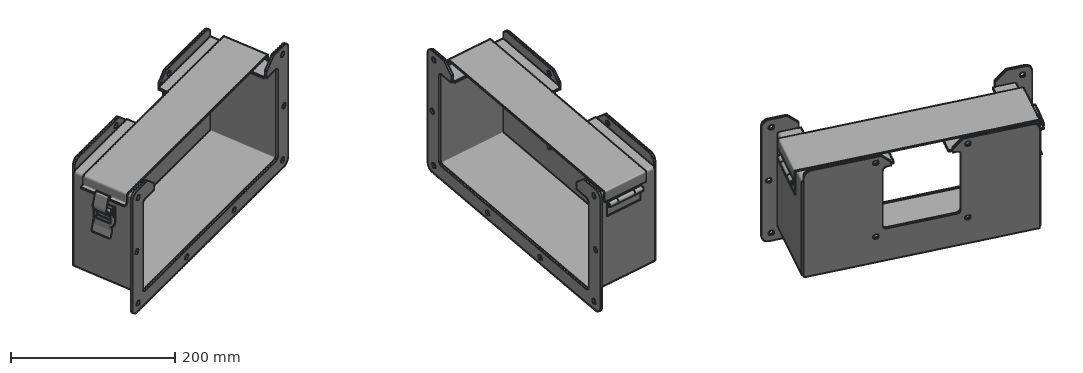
import cadquery as cq
import math


length = 346.0
depth = 101.7
height = 193.8
sheet = 3.0
plate_corner_radius = 9.7
hole_diameter = 7.3
mid_x = depth / 2

front_half = 151.0
end_wall_step = 2.25
channel_half = front_half + end_wall_step
channel_bottom = 18.7
channel_top = 171.3
channel_bend_inner = 1.0
flange_underside = channel_top - sheet
rim_width = 24.5
front_flange_end = 35.0
back_flange_end = 122.5

front_top = 187.0
front_tip = 39.5
front_chamfer = 12.8
front_window_half = 50.0
front_window_bottom = 69.2
window_radius = 5.5
front_foot_radius = 1.5
front_hole_y = 59.0
front_hole_z = (60.0, 177.5)

back_half = length / 2
back_tip = 125.3
back_chamfer = 15.0
back_window_half = channel_half - sheet
back_window_bottom = channel_bottom + sheet
back_holes = (
    (160.5, 12.5),
    (160.5, 181.0),
    (163.7, 97.0),
    (52.5, 9.5),
)

lid_width = 63.7
lid_sheet = 2.0
lid_gap = 2.0
lip_bend_inner = 1.0
latch_bend_inner = 1.0
hinge_bend_inner = 0.17
lid_under = channel_top + lid_gap
lid_half = channel_half + lid_gap + lid_sheet
lid_flange_bottom = 159.0
lip_end = -162.3

leaf_thickness = lid_gap / 2
leaf_length = 20.0
hinge_width = 51.2
middle_knuckle = hinge_width / 2
knuckle_diameter = 7.3
hinge_pin_diameter = 3.3
hinge_pin_length = 53.5
hinge_y = channel_half + knuckle_diameter / 2
hinge_z = 151.2

latch_sheet = 1.0
latch_top = 143.0
lever_width = 28.0
lever_bend = 2.0
lever_face = -163.0
lever_wing_back = -155.0
lever_wing_bottom = 117.0
lever_wing_radius = 3.0
lever_window_bottom = 122.5
lever_window_width = lever_width - 2 * lever_bend
lever_kink_z = 112.0
lever_tip = (-166.5, 101.5)
lever_tip_radius = 2.8

base_width = lever_width - 2 * latch_sheet
base_bottom = 119.5
ear_bottom = 135.5
ear_front = -161.0

pivot_diameter = 5.0
pivot_length = 31.0
pivot_yz = (-159.0, 138.8)

hook_pin_diameter = 3.3
hook_pin_head_diameter = 5.0
hook_pin_head = 1.5
hook_pin_yz = (-157.0, 132.0)

hook_width = 19.5
hook_elbow = (-170.5, 144.0)
hook_crest = (-164.5, 164.5)
hook_crest_end = -160.2
hook_tip = (-159.0, 161.5)
hook_elbow_inner = 9.0
hook_crest_inner = 1.5
hook_tip_inner = 0.7


def box(x_range, y_range, z_range):
    """Axis-aligned block between the given limits."""
    size = [high - low for low, high in (x_range, y_range, z_range)]
    corner = (x_range[0], y_range[0], z_range[0])
    return cq.Workplane("XY").box(*size, centered=False).translate(corner)


def rod(yz, diameter, x_start, x_length):
    """Cylinder along X."""
    return (
        cq.Workplane("YZ", origin=(x_start, 0, 0))
        .center(*yz)
        .circle(diameter / 2)
        .extrude(x_length)
    )


def unit(start, end):
    span = math.dist(start, end)
    return ((end[0] - start[0]) / span, (end[1] - start[1]) / span)


def turn_angle(before, after):
    """Signed turn from one direction to the next, positive to the left."""
    cross = before[0] * after[1] - before[1] * after[0]
    dot = before[0] * after[0] + before[1] * after[1]
    return math.atan2(cross, dot)


def bent_strip(points, thickness, bend_radii, x_start, width):
    """Bent sheet along X: its right-hand side follows the points, its body lies to their left.

    bend_radii gives the inside radius of each bend in turn.
    """
    ways = [unit(a, b) for a, b in zip(points, points[1:])]
    turns = [turn_angle(a, b) for a, b in zip(ways, ways[1:])]

    def side(offset):
        """Start, bends and end of one side; each bend as (start, middle, end) of its arc."""
        first = (points[0][0] - offset * ways[0][1], points[0][1] + offset * ways[0][0])
        arcs = []
        for point, way, after, turn, inner in zip(points[1:], ways, ways[1:], turns, bend_radii):
            slide = offset * math.tan(turn / 2)
            corner = (
                point[0] - offset * way[1] - slide * way[0],
                point[1] + offset * way[0] - slide * way[1],
            )
            on_inside = (offset > 0) == (turn > 0)
            radius = inner if on_inside else inner + thickness
            reach = radius * math.tan(abs(turn) / 2)
            sagitta = radius / math.cos(turn / 2) - radius
            bisector = unit((0, 0), (after[0] - way[0], after[1] - way[1]))
            arcs.append((
                (corner[0] - reach * way[0], corner[1] - reach * way[1]),
                (corner[0] + sagitta * bisector[0], corner[1] + sagitta * bisector[1]),
                (corner[0] + reach * after[0], corner[1] + reach * after[1]),
            ))
        last = (points[-1][0] - offset * ways[-1][1], points[-1][1] + offset * ways[-1][0])
        return first, arcs, last

    start, right_arcs, end = side(0)
    left_start, left_arcs, left_end = side(thickness)
    outline = cq.Workplane("YZ", origin=(x_start, 0, 0)).moveTo(*start)
    for first, middle, last in right_arcs:
        outline = outline.lineTo(*first).threePointArc(middle, last)
    outline = outline.lineTo(*end).lineTo(*left_end)
    for first, middle, last in reversed(left_arcs):
        outline = outline.lineTo(*last).threePointArc(middle, first)
    return outline.lineTo(*left_start).close().extrude(width)


def tabbed_plate(x_start, half, bottom, top, tip, chamfer, window_half, window_bottom):
    """Plate with a window that opens upward between two chamfered top tabs."""
    gap_bottom = flange_underside - window_radius
    tab_gap = (
        cq.Workplane("YZ", origin=(x_start, 0, 0))
        .polyline([
            (-tip, gap_bottom),
            (tip, gap_bottom),
            (tip, top - chamfer),
            (tip + chamfer, top),
            (-tip - chamfer, top),
            (-tip, top - chamfer),
        ])
        .close()
        .extrude(sheet)
    )
    x_range = (x_start, x_start + sheet)
    window = box(x_range, (-window_half, window_half), (window_bottom, flange_underside))
    window = window.edges("|X").fillet(window_radius)
    plate = box(x_range, (-half, half), (bottom, top))
    plate = plate.edges("|X and >Z").fillet(plate_corner_radius)
    return plate.cut(window).cut(tab_gap)


def drill_plate(plate, places):
    """Mirrored pairs of round holes through a plate."""
    for y, z in places:
        for side in (-1, 1):
            plate = plate.cut(rod((side * y, z), hole_diameter, 0, depth))
    return plate


def make_channel():
    """Floor, end walls and top flanges, bent from one strip."""
    profile = [
        (-front_flange_end, channel_top),
        (-channel_half, channel_top),
        (-channel_half, channel_bottom),
        (channel_half, channel_bottom),
        (channel_half, channel_top),
        (front_flange_end, channel_top),
    ]
    bends = [channel_bend_inner] * 4
    channel = bent_strip(profile, sheet, bends, sheet, depth - 2 * sheet)
    top_opening = box(
        (sheet + rim_width, depth - sheet),
        (-back_flange_end, back_flange_end),
        (flange_underside, channel_top),
    )
    return channel.cut(top_opening)


def make_front_plate():
    plate = tabbed_plate(
        0, front_half, channel_bottom, front_top,
        front_tip, front_chamfer, front_window_half, front_window_bottom,
    )
    plate = plate.edges("|X and <Z").fillet(front_foot_radius)
    return drill_plate(plate, [(front_hole_y, z) for z in front_hole_z])


def make_back_plate():
    """Mounting plate whose window follows the inside of the channel."""
    plate = tabbed_plate(
        depth - sheet, back_half, 0, height,
        back_tip, back_chamfer, back_window_half, back_window_bottom,
    )
    plate = plate.edges("|X and <Z").fillet(plate_corner_radius)
    return drill_plate(plate, back_holes)


def make_lid():
    """Flat lid with a plain hinge flange and a latch flange that ends in an outward lip."""
    profile = [
        (lip_end, lid_flange_bottom),
        (-lid_half + lid_sheet, lid_flange_bottom),
        (-lid_half + lid_sheet, lid_under),
        (lid_half - lid_sheet, lid_under),
        (lid_half - lid_sheet, lid_flange_bottom),
    ]
    bends = [lip_bend_inner, latch_bend_inner, hinge_bend_inner]
    return bent_strip(profile, lid_sheet, bends, mid_x - lid_width / 2, lid_width)


def knuckle_ranges():
    """X start and width of the end, middle and end knuckles."""
    left = mid_x - hinge_width / 2
    end_width = (hinge_width - middle_knuckle) / 2
    return (
        (left, end_width),
        (left + end_width, middle_knuckle),
        (left + end_width + middle_knuckle, end_width),
    )


def make_leaf(y_inner, z_range, knuckles, clear_spans):
    """Hinge leaf with its knuckles, cut clear of the other leaf's knuckles."""
    x_range = (mid_x - hinge_width / 2, mid_x + hinge_width / 2)
    leaf = box(x_range, (y_inner, y_inner + leaf_thickness), z_range)
    for start, width in clear_spans:
        leaf = leaf.cut(rod((hinge_y, hinge_z), knuckle_diameter, start, width))
    for start, width in knuckles:
        leaf = leaf.union(rod((hinge_y, hinge_z), knuckle_diameter, start, width))
    return leaf.cut(rod((hinge_y, hinge_z), hinge_pin_diameter, 0, depth))


def make_wall_leaf():
    first, middle, last = knuckle_ranges()
    z_range = (hinge_z - leaf_length, hinge_z)
    return make_leaf(channel_half, z_range, [first, last], [middle])


def make_lid_leaf():
    first, middle, last = knuckle_ranges()
    z_range = (hinge_z, hinge_z + leaf_length)
    return make_leaf(channel_half + leaf_thickness, z_range, [middle], [first, last])


def make_hinge_pin():
    return rod((hinge_y, hinge_z), hinge_pin_diameter, mid_x - hinge_pin_length / 2, hinge_pin_length)


def make_pivot():
    return rod(pivot_yz, pivot_diameter, mid_x - pivot_length / 2, pivot_length)


def make_base():
    """Plate on the end wall with two ears and the lever's pivot pin."""
    wall = -channel_half
    x_range = (mid_x - base_width / 2, mid_x + base_width / 2)
    base = box(x_range, (wall - latch_sheet, wall), (base_bottom, latch_top))
    for start in (x_range[0], x_range[1] - latch_sheet):
        ear = box((start, start + latch_sheet), (ear_front, wall), (ear_bottom, latch_top))
        base = base.union(ear)
    return base.union(make_pivot())


def make_hook_pin():
    """Pin across the lever with one chamfered head outside the -X wing."""
    left = mid_x - lever_width / 2
    shaft = rod(hook_pin_yz, hook_pin_diameter, left, lever_width)
    head = rod(hook_pin_yz, hook_pin_head_diameter, left - hook_pin_head, hook_pin_head)
    rim = (hook_pin_head_diameter - hook_pin_diameter) / 2
    return head.faces("<X").chamfer(rim).union(shaft)


def make_lever():
    """Channel-shaped lever with a window for the hook, a flared finger tip and the hook's pin."""
    x_range = (mid_x - lever_width / 2, mid_x + lever_width / 2)
    inner_x = (x_range[0] + latch_sheet, x_range[1] - latch_sheet)
    y_range = (lever_face, lever_wing_back)
    z_range = (lever_wing_bottom, latch_top)

    outside = box(x_range, y_range, z_range).edges("|Z and <Y").fillet(lever_bend)
    inside = box(inner_x, (lever_face + latch_sheet, lever_wing_back), z_range)
    inside = inside.edges("|Z and <Y").fillet(lever_bend - latch_sheet)
    wing_outline = box(x_range, y_range, z_range)
    front_top_corner = "|X and >Z and <Y"
    rear_bottom_corner = "|X and <Z and >Y"
    wing_outline = wing_outline.edges(front_top_corner).fillet(lever_wing_radius)
    wing_outline = wing_outline.edges(rear_bottom_corner).fillet(lever_wing_radius)
    window = box(
        (mid_x - lever_window_width / 2, mid_x + lever_window_width / 2),
        y_range,
        (lever_window_bottom, latch_top),
    )
    channel = outside.cut(inside).cut(window).intersect(wing_outline)

    handle = bent_strip(
        [(lever_face, lever_wing_bottom), (lever_face, lever_kink_z), lever_tip],
        latch_sheet, [latch_sheet], x_range[0], lever_width,
    )
    tip_z = (lever_tip[1], lever_wing_bottom)
    tip_outline = box(x_range, (lever_tip[0], lever_wing_back), tip_z)
    tip_outline = tip_outline.edges("|Y and <Z").fillet(lever_tip_radius)
    handle = handle.intersect(tip_outline)
    return channel.union(handle).cut(make_pivot()).union(make_hook_pin())


def make_hook():
    """Spring strap from a curl on its pin, round an elbow, to a tip that grips the lid lip."""
    x_start = mid_x - hook_width / 2
    curl_radius = hook_pin_diameter / 2 + latch_sheet
    reach = math.dist(hook_pin_yz, hook_elbow)
    toward_elbow = math.atan2(hook_elbow[1] - hook_pin_yz[1], hook_elbow[0] - hook_pin_yz[0])
    contact = toward_elbow + math.acos(curl_radius / reach)
    curl_end = (
        hook_pin_yz[0] + curl_radius * math.cos(contact),
        hook_pin_yz[1] + curl_radius * math.sin(contact),
    )
    profile = [hook_tip, (hook_crest_end, hook_crest[1]), hook_crest, hook_elbow, curl_end]
    bends = [hook_tip_inner, hook_crest_inner, hook_elbow_inner]
    strap = bent_strip(profile, latch_sheet, bends, x_start, hook_width)
    curl = rod(hook_pin_yz, 2 * curl_radius, x_start, hook_width)
    return strap.union(curl).cut(make_hook_pin())


front_plate = make_front_plate()
channel = make_channel()
back_plate = make_back_plate()
lid = make_lid()
wall_leaf = make_wall_leaf()
lid_leaf = make_lid_leaf()
hinge_pin = make_hinge_pin()
latch_base = make_base()
lever = make_lever()
hook = make_hook()

result = cq.Compound.makeCompound([
    front_plate.val(),
    channel.val(),
    back_plate.val(),
    lid.val(),
    wall_leaf.val(),
    lid_leaf.val(),
    hinge_pin.val(),
    latch_base.val(),
    lever.val(),
    hook.val(),
])